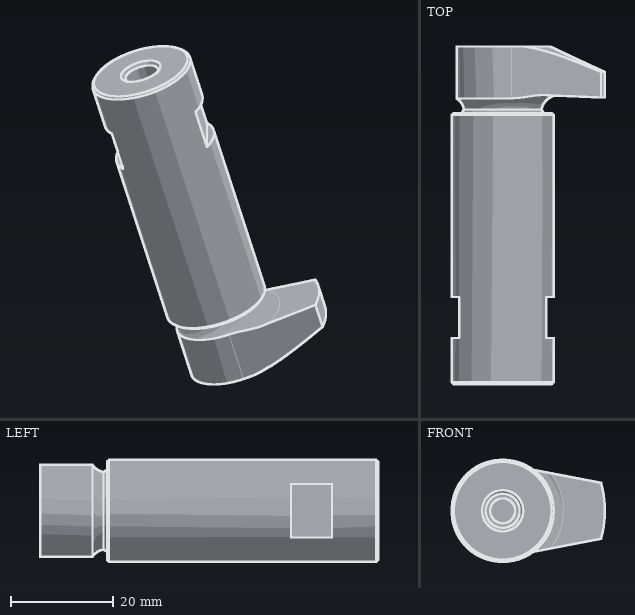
import cadquery as cq
import math

LENGTH = 66.0

SHANK_RADIUS = 10.0
SHANK_LENGTH = 53.0
SHANK_CHAMFER = 0.45

FLAT_START = 9.05
FLAT_LENGTH = 8.0
FLAT_DISTANCE = 8.5

HOLE_RADIUS = 3.33
HOLE_DEPTH = 19.8
PILOT_RADIUS = 2.45
PILOT_DEPTH = 25.1
COUNTERSINK_RADIUS = 4.0

HEAD_RADIUS = 9.01
ARM_RADIUS = 2 * SHANK_RADIUS
ARM_TIP_HALF_WIDTH = 5.5
ARM_BASE = 56.0
SLOPE_START_RADIUS = 9.25
SLOPE_ANGLE = 25.0

NECK_RADIUS = 7.6
NECK_BASE_RADIUS = 8.0
NECK_TAPER_LENGTH = 0.65
GROOVE_EDGE_RADIUS = 11.9
GROOVE_EDGE_Y = 56.35
GROOVE_HEAD_Y = 55.85


def revolve_about_y(profile):
    """Turn a closed XY profile of radius and height around the shank axis."""
    return profile.close().revolve(360, (0, 0, 0), (0, 1, 0))


def cylinder_along_y(radius, start, end):
    return cq.Workplane("XZ", origin=(0, start, 0)).circle(radius).extrude(start - end)


def make_shank():
    shank = cylinder_along_y(SHANK_RADIUS, 0, SHANK_LENGTH)
    shank = shank.faces("<Y or >Y").chamfer(SHANK_CHAMFER)
    flat_depth = SHANK_RADIUS - FLAT_DISTANCE
    for side in (-1, 1):
        cutter = cq.Workplane("XY").box(2 * flat_depth, FLAT_LENGTH, 2 * SHANK_RADIUS)
        cutter_x = side * (FLAT_DISTANCE + flat_depth)
        shank = shank.cut(cutter.translate((cutter_x, FLAT_START + FLAT_LENGTH / 2, 0)))
    return shank


def make_hole():
    countersink_depth = COUNTERSINK_RADIUS - HOLE_RADIUS
    return revolve_about_y(
        cq.Workplane("XY")
        .lineTo(COUNTERSINK_RADIUS, 0)
        .lineTo(HOLE_RADIUS, countersink_depth)
        .lineTo(HOLE_RADIUS, HOLE_DEPTH)
        .lineTo(PILOT_RADIUS, HOLE_DEPTH)
        .lineTo(PILOT_RADIUS, PILOT_DEPTH)
        .lineTo(0, PILOT_DEPTH)
    )


def make_head_outline():
    """Extrude the round head and its tapering arm through the full head height."""
    tip_x = math.sqrt(ARM_RADIUS**2 - ARM_TIP_HALF_WIDTH**2)
    tip_angle = math.atan2(ARM_TIP_HALF_WIDTH, tip_x)
    tangent_angle = tip_angle + math.acos(HEAD_RADIUS / ARM_RADIUS)
    tangent_x = HEAD_RADIUS * math.cos(tangent_angle)
    tangent_z = HEAD_RADIUS * math.sin(tangent_angle)
    return (
        cq.Workplane("XZ", origin=(0, SHANK_LENGTH, 0))
        .moveTo(tangent_x, tangent_z)
        .threePointArc((-HEAD_RADIUS, 0), (tangent_x, -tangent_z))
        .lineTo(tip_x, -ARM_TIP_HALF_WIDTH)
        .threePointArc((ARM_RADIUS, 0), (tip_x, ARM_TIP_HALF_WIDTH))
        .close()
        .extrude(SHANK_LENGTH - LENGTH)
    )


def make_head_envelope():
    """Turned shape that gives the head its sloped top, undercut and neck."""
    slope_drop = (ARM_RADIUS - SLOPE_START_RADIUS) * math.tan(math.radians(SLOPE_ANGLE))
    return revolve_about_y(
        cq.Workplane("XY")
        .moveTo(0, SHANK_LENGTH)
        .lineTo(NECK_BASE_RADIUS, SHANK_LENGTH)
        .lineTo(NECK_RADIUS, SHANK_LENGTH + NECK_TAPER_LENGTH)
        .threePointArc((HEAD_RADIUS, GROOVE_HEAD_Y), (GROOVE_EDGE_RADIUS, GROOVE_EDGE_Y))
        .lineTo(ARM_RADIUS, ARM_BASE)
        .lineTo(ARM_RADIUS, LENGTH - slope_drop)
        .lineTo(SLOPE_START_RADIUS, LENGTH)
        .lineTo(0, LENGTH)
    )


head = make_head_outline().intersect(make_head_envelope())
result = make_shank().union(head).cut(make_hole())